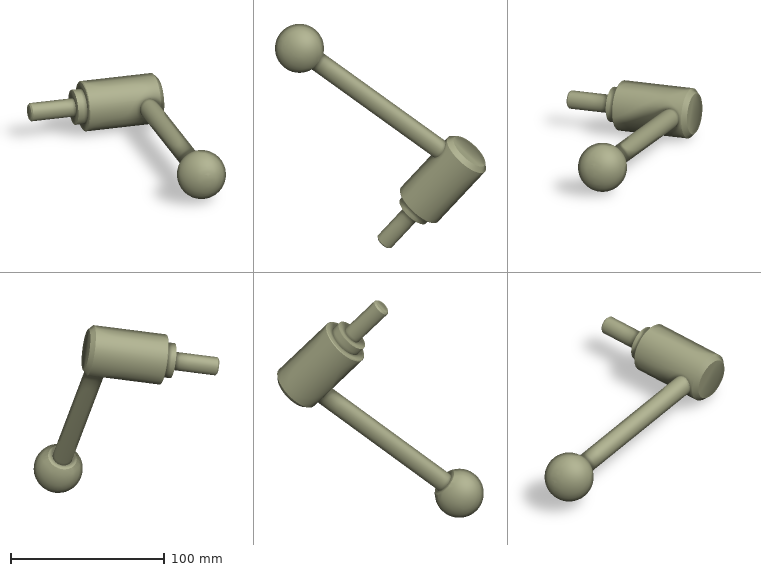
import cadquery as cq

hub_diameter = 33.0
hub_length = 51.8
hub_front_chamfer = 0.5
hub_back_chamfer = 3.0
collar_diameter = 23.0
collar_length = 6.2
stud_diameter = 12.0
stud_length = 30
stud_chamfer = 1.0

overall_length = 167
arm_diameter = 13.0
arm_axis_y = 40.7
ball_diameter = 32.0
ball_flat_offset = 12.9

hub_radius = hub_diameter / 2
ball_radius = ball_diameter / 2
ball_center_x = overall_length - hub_radius - ball_radius


def cylinder_along_y(diameter, start_y, length):
    return (
        cq.Workplane("XZ", origin=(0, start_y, 0))
        .circle(diameter / 2)
        .extrude(-length)
    )


def make_hub():
    hub = cylinder_along_y(hub_diameter, 0, hub_length)
    hub = hub.faces("<Y").chamfer(hub_front_chamfer)
    return hub.faces(">Y").chamfer(hub_back_chamfer)


def make_stud():
    collar = cylinder_along_y(collar_diameter, -collar_length, collar_length)
    stud = cylinder_along_y(stud_diameter, -collar_length - stud_length, stud_length)
    return collar.union(stud.faces("<Y").chamfer(stud_chamfer))


def make_arm():
    return (
        cq.Workplane("YZ", origin=(0, arm_axis_y, 0))
        .circle(arm_diameter / 2)
        .extrude(ball_center_x)
    )


def make_ball():
    ball = cq.Workplane("XY").sphere(ball_radius)
    kept_length = ball_flat_offset + ball_radius
    kept_region = cq.Workplane("XY").box(
        kept_length, ball_diameter, ball_diameter
    ).translate(((ball_radius - ball_flat_offset) / 2, 0, 0))
    return ball.intersect(kept_region).translate((ball_center_x, arm_axis_y, 0))


result = make_hub().union(make_stud()).union(make_arm()).union(make_ball())